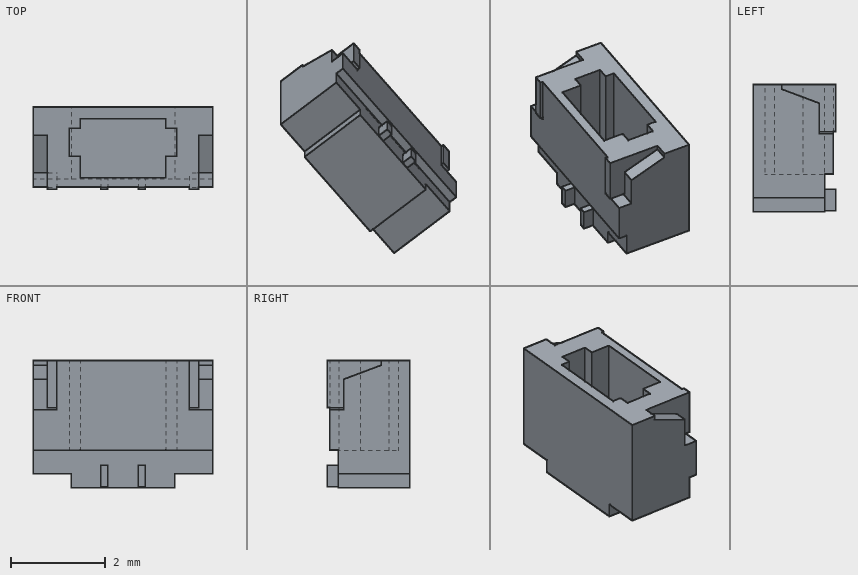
import cadquery as cq


housing_width = 3.8
housing_depth = 1.7
total_height = 2.7
foot_width = 2.2
foot_height = 0.3

lower_depth = 1.52
step_z = 0.8

cavity_width = 1.8
cavity_rear = 0.25
cavity_front = 1.5
cavity_floor_z = step_z
keyed_width = 2.28
keyway_rear = 0.45
keyway_front = 1.05

notch_width = 0.3
notch_rear = 0.6
notch_front_wall = 1.4
ledge_rear_drop = 0.1
ledge_front_drop = 0.4
notch_drop = 1.05

tab_thickness = 0.2
tab_height = 1.0
front_projection = 0.05

tail_count = 2
tail_pitch = 0.8
tail_width = 0.15
tail_height = 0.46
tail_bottom_z = 0.025

overall_depth = housing_depth + front_projection
half_width = housing_width / 2


def box(x_min, x_max, rear, front, z_min, z_max):
    """Block whose rear and front are distances forward of the rear face."""
    size = (x_max - x_min, front - rear, z_max - z_min)
    return cq.Workplane("XY").box(*size, centered=False).translate((x_min, -front, z_min))


def centered_box(width, rear, front, z_min, z_max):
    """Block symmetric about the mid-plane."""
    return box(-width / 2, width / 2, rear, front, z_min, z_max)


def both_sides(left):
    """The left-hand shape together with its mirror image."""
    return left.union(left.mirror("YZ"))


def make_housing():
    upper = centered_box(housing_width, 0, housing_depth, step_z, total_height)
    lower = centered_box(housing_width, 0, lower_depth, foot_height, step_z)
    foot = centered_box(foot_width, 0, lower_depth, 0, foot_height)
    return upper.union(lower).union(foot)


def make_cavity():
    main = centered_box(cavity_width, cavity_rear, cavity_front, cavity_floor_z, total_height)
    keyways = centered_box(keyed_width, keyway_rear, keyway_front, cavity_floor_z, total_height)
    return main.union(keyways)


def make_left_notch():
    ledge_profile = [
        (-notch_rear, total_height),
        (-notch_rear, total_height - ledge_rear_drop),
        (-notch_front_wall, total_height - ledge_front_drop),
        (-notch_front_wall, total_height - notch_drop),
        (-housing_depth, total_height - notch_drop),
        (-housing_depth, total_height),
    ]
    ledge_cut = cq.Workplane("YZ", origin=(-half_width, 0, 0)).polyline(ledge_profile).close()
    ledge_cut = ledge_cut.extrude(notch_width)
    tab_slot = box(
        -half_width,
        -half_width + notch_width + tab_thickness,
        notch_front_wall,
        housing_depth,
        total_height - notch_drop,
        total_height,
    )
    return ledge_cut.union(tab_slot)


def make_left_tab():
    outer_x = -half_width + notch_width
    return box(
        outer_x,
        outer_x + tab_thickness,
        notch_front_wall,
        overall_depth,
        total_height - tab_height,
        total_height,
    )


def make_tail(index):
    center_x = (index - (tail_count - 1) / 2) * tail_pitch
    tail_top_z = tail_bottom_z + tail_height
    tail = centered_box(tail_width, lower_depth, overall_depth, tail_bottom_z, tail_top_z)
    return tail.translate((center_x, 0, 0))


result = make_housing().cut(make_cavity())
result = result.cut(both_sides(make_left_notch()))
result = result.union(both_sides(make_left_tab()))
for tail_index in range(tail_count):
    result = result.union(make_tail(tail_index))